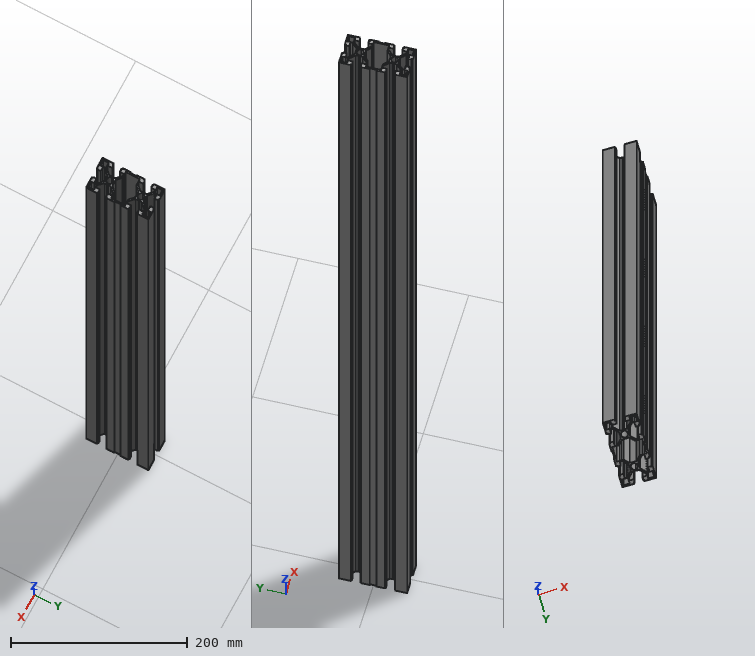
import cadquery as cq

WIDTH = 40.0
HEIGHT = 80.0
LENGTH = 1000.0

MODULE_HALF = WIDTH / 2
CORE_HALF = 5.5
WEB_OFFSET = 1.5
CORE_CENTERS = [(0, MODULE_HALF), (0, -MODULE_HALF)]

SLOT_OPENING = 10.0
SLOT_HALF = 10.5
LIP = 5.5
MOUTH_WIDTH = 12.0
MOUTH_DEPTH = 1.5
V_DEPTH = 1.0

CORE_BORE = 8.0
CORNER_HOLLOW = 7.0
CORNER_HOLLOW_INSET = 5.5
WALL = 2.5
CAVITY_SHOULDER = 9.0

GROOVE_WIDTH = 8.0
GROOVE_DEPTH = 1.0


def prism(points):
    """Full-length solid with the given cross-section."""
    return cq.Workplane("XY").polyline(points).close().extrude(LENGTH)


def with_left_half(points):
    """Close a right-hand half outline by reflecting it across the Y axis."""
    return points + [(-x, y) for x, y in reversed(points)]


def slot():
    """T-slot of a module centered on the origin, opening towards +Y."""
    step = MODULE_HALF - MOUTH_DEPTH
    v_bottom = [(0, CORE_HALF - V_DEPTH)]
    right = [
        (V_DEPTH, CORE_HALF),
        (CORE_HALF - WEB_OFFSET, CORE_HALF),
        (SLOT_HALF, SLOT_HALF + WEB_OFFSET),
        (SLOT_HALF, MODULE_HALF - LIP),
        (SLOT_OPENING / 2, MODULE_HALF - LIP),
        (SLOT_OPENING / 2, step),
        (MOUTH_WIDTH / 2, step),
        (MOUTH_WIDTH / 2, MODULE_HALF),
    ]
    return prism(v_bottom + with_left_half(right))


def cavity():
    """Large chamber between the two cores."""
    upper_right = [
        (CORE_HALF - WEB_OFFSET, MODULE_HALF - CORE_HALF),
        (MODULE_HALF - CAVITY_SHOULDER - WEB_OFFSET, CAVITY_SHOULDER),
        (WIDTH / 2 - WALL, CAVITY_SHOULDER),
    ]
    lower_right = [(x, -y) for x, y in reversed(upper_right)]
    return prism(with_left_half(upper_right + lower_right))


def core_bores():
    return cq.Workplane("XY").pushPoints(CORE_CENTERS).circle(CORE_BORE / 2).extrude(LENGTH)


def corner_hollows():
    """Square hollow in each outer corner of the profile."""
    spacing_x = WIDTH - 2 * CORNER_HOLLOW_INSET
    spacing_y = HEIGHT - 2 * CORNER_HOLLOW_INSET
    corners = cq.Workplane("XY").rect(spacing_x, spacing_y, forConstruction=True).vertices()
    return corners.rect(CORNER_HOLLOW, CORNER_HOLLOW).extrude(LENGTH)


def side_grooves():
    """Groove cutters centered on the two wide sides, half of each inside the wall."""
    sides = cq.Workplane("XY").pushPoints([(WIDTH / 2, 0), (-WIDTH / 2, 0)])
    return sides.rect(2 * GROOVE_DEPTH, GROOVE_WIDTH).extrude(LENGTH)


profile = cq.Workplane("XY").rect(WIDTH, HEIGHT).extrude(LENGTH)

for core, end_angle in zip(CORE_CENTERS, (0, 180)):
    for turn in (-90, 0, 90):
        turned_slot = slot().rotate((0, 0, 0), (0, 0, 1), end_angle + turn)
        profile = profile.cut(turned_slot.translate((*core, 0)))

for hollow in (cavity(), core_bores(), corner_hollows(), side_grooves()):
    profile = profile.cut(hollow)

result = profile